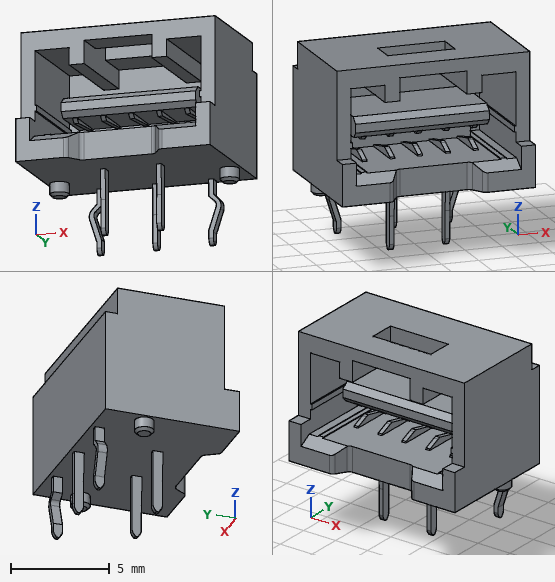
import cadquery as cq


width = 10.4
depth = 7.25
height = 6.94
rear_step_depth = 0.65
rear_step_z = 5.49
lip_depth = 0.81
lip_z = 2.25

cavity_half_width = 4.44
cavity_floor_z = 1.45
cavity_ceiling_z = 5.94
cavity_back_y = 6.16
key_inner_x = 1.81
key_outer_x = 2.61
key_bottom_z = 5.03
channel_front_z = 6.25
channel_rear_z = 6.02
window_front_y = 2.58
window_rear_y = 4.07

wall_rail_bottom_z = 2.78
wall_rail_height = 0.31
wall_rail_thickness = 0.08
floor_rail_width = 0.31
floor_rail_height = 0.04

lip_slope_front_z = 1.03
lip_slope_back_y = 0.71
notch_top_x = 1.97
notch_mouth_x = 2.49
notch_radius = 0.29

tongue_half_width = 3.6
tongue_front_y = 2.42
tongue_bottom_z = 2.78
tongue_top_z = 3.85
tongue_chamfer_height = 0.3
tongue_top_chamfer_depth = 0.36
tongue_bottom_chamfer_depth = 0.27
tongue_root_y = 5.2

pitch = 1.5
pin_thickness = 0.25
pin_width = 0.5
pin_length = 3.41
pin_taper_length = 1.6
pin_taper = 0.04
pin_tip_length = 0.32
pin_tip_half_width = 0.06
pin_tip_bulge_y = 0.18
pin_tip_bulge_drop = 0.19
front_row_y = 3.08
rear_row_y = 6.77

contact_rear_height = 0.07
lower_contact_y = 2.72
lower_contact_tip_depth = 0.04
lower_contact_tip_height = 0.07
lower_contact_slope_end_y = 3.45
lower_contact_slope_height = 0.36
lower_contact_crest_y = 3.59
lower_contact_height = 0.42
upper_contact_y = 2.77
upper_contact_crest_y = 3.04
upper_contact_height = 0.23

kink_start = 0.83
kink_depth = 1.29
kink_end = 2.71
kink_outer_offset = 0.6
kink_inner_offset = 0.32
kink_outer_radius = 0.52
kink_inner_radius = 0.27
kink_miter = 0.05

peg_diameter = 1.0
peg_x = 4.55
peg_y = 4.92
peg_length = 0.7
peg_chamfer = 0.16


def block(x0, x1, y0, y1, z0, z1):
    """Box given by its limits along each axis."""
    return cq.Workplane("XY").box(x1 - x0, y1 - y0, z1 - z0, centered=False).translate((x0, y0, z0))


def side_profile(points, half_width, center_x=0.0):
    """Outline in (y, z), extruded symmetrically along X."""
    solid = cq.Workplane("YZ").polyline(points).close().extrude(half_width, both=True)
    return solid.translate((center_x, 0, 0))


def mirrored(solid):
    """The solid together with its mirror image across the plane x = 0."""
    return solid.union(solid.mirror("YZ"))


def make_shell():
    shell = side_profile(
        [
            (0, 0),
            (depth, 0),
            (depth, rear_step_z),
            (depth - rear_step_depth, rear_step_z),
            (depth - rear_step_depth, height),
            (lip_depth, height),
            (lip_depth, lip_z),
            (0, lip_z),
        ],
        width / 2,
    )
    cavity = side_profile(
        [
            (0, lip_slope_front_z),
            (lip_slope_back_y, cavity_floor_z),
            (cavity_back_y, cavity_floor_z),
            (cavity_back_y, cavity_ceiling_z),
            (0, cavity_ceiling_z),
        ],
        cavity_half_width,
    )
    return shell.cut(cavity)


def add_keys_and_latch(shell):
    key = block(key_inner_x, key_outer_x, lip_depth, cavity_back_y, key_bottom_z, cavity_ceiling_z)
    shell = shell.union(mirrored(key))
    rear_channel = block(-key_inner_x, key_inner_x, lip_depth, cavity_back_y, key_bottom_z, channel_rear_z)
    front_channel = block(-key_inner_x, key_inner_x, lip_depth, window_rear_y, key_bottom_z, channel_front_z)
    window = block(-key_inner_x, key_inner_x, window_front_y, window_rear_y, key_bottom_z, height)
    return shell.cut(rear_channel).cut(front_channel).cut(window)


def make_rails():
    wall_rail = block(
        cavity_half_width - wall_rail_thickness, cavity_half_width,
        lip_depth, cavity_back_y,
        wall_rail_bottom_z, wall_rail_bottom_z + wall_rail_height,
    )
    slope_run = floor_rail_height * lip_slope_back_y / (cavity_floor_z - lip_slope_front_z)
    floor_rail = side_profile(
        [
            (lip_slope_back_y, cavity_floor_z),
            (lip_slope_back_y + slope_run, cavity_floor_z + floor_rail_height),
            (cavity_back_y, cavity_floor_z + floor_rail_height),
            (cavity_back_y, cavity_floor_z),
        ],
        floor_rail_width / 2,
        tongue_half_width + floor_rail_width / 2,
    )
    return mirrored(wall_rail.union(floor_rail))


def make_lip_notch():
    """Central clearance through the front lip, with S-shaped flanks."""
    inner = [(-notch_top_x, lip_depth), (notch_top_x, lip_depth)]
    mouth = [(notch_mouth_x, 0), (width / 2, 0), (width / 2, -lip_depth)]
    mouth_left = [(-x, y) for x, y in reversed(mouth)]
    notch = cq.Workplane("XY").polyline(inner + mouth + mouth_left).close().extrude(height)
    flank_corners = notch.edges("|Z").filter(lambda edge: abs(edge.Center().x) < cavity_half_width)
    return notch.newObject(flank_corners.vals()).fillet(notch_radius)


def make_tongue():
    """Tongue along the cavity, joined to the floor by a wall at its root."""
    return side_profile(
        [
            (cavity_back_y, cavity_floor_z),
            (cavity_back_y, tongue_top_z),
            (tongue_front_y + tongue_top_chamfer_depth, tongue_top_z),
            (tongue_front_y, tongue_top_z - tongue_chamfer_height),
            (tongue_front_y, tongue_bottom_z + tongue_chamfer_height),
            (tongue_front_y + tongue_bottom_chamfer_depth, tongue_bottom_z),
            (tongue_root_y, tongue_bottom_z),
            (tongue_root_y, cavity_floor_z),
        ],
        tongue_half_width,
    )


def lower_contact(x):
    """Contact rising from the cavity floor, with a blunt tip."""
    outline = [
        (lower_contact_y, 0),
        (lower_contact_y + lower_contact_tip_depth, lower_contact_tip_height),
        (lower_contact_slope_end_y, lower_contact_slope_height),
        (lower_contact_crest_y, lower_contact_height),
        (tongue_root_y, contact_rear_height),
        (tongue_root_y, 0),
    ]
    points = [(y, cavity_floor_z + rise) for y, rise in outline]
    return side_profile(points, pin_thickness / 2, x)


def upper_contact(x):
    """Wedge-shaped contact hanging from the underside of the tongue."""
    outline = [
        (upper_contact_y, 0),
        (upper_contact_crest_y, upper_contact_height),
        (tongue_root_y, contact_rear_height),
        (tongue_root_y, 0),
    ]
    points = [(y, tongue_bottom_z - drop) for y, drop in outline]
    return side_profile(points, pin_thickness / 2, x)


def straight_pin(x, y):
    """Flat solder pin with a rounded, tapered tip and a front edge that flares towards the housing."""
    half = pin_width / 2
    shoulder_z = pin_tip_length - pin_length
    bulge_z = shoulder_z - pin_tip_bulge_drop
    pin = (
        cq.Workplane("YZ")
        .moveTo(-half, -pin_taper_length)
        .lineTo(-half - pin_taper, 0)
        .lineTo(half, 0)
        .lineTo(half, shoulder_z)
        .threePointArc((pin_tip_bulge_y, bulge_z), (pin_tip_half_width, -pin_length))
        .lineTo(-pin_tip_half_width, -pin_length)
        .threePointArc((-pin_tip_bulge_y, bulge_z), (-half, shoulder_z))
        .close()
        .extrude(pin_thickness / 2, both=True)
    )
    return pin.translate((x, y, 0))


def kinked_pin(x, y):
    """Retention pin for the +X side: a strip bowed outwards, with the same tip as a straight pin."""
    half = pin_thickness / 2
    strip = (
        cq.Workplane("XZ")
        .polyline(
            [
                (-half, 0),
                (half, 0),
                (half, -kink_start + kink_miter),
                (kink_outer_offset, -kink_depth),
                (half, -kink_end - kink_miter),
                (half, -pin_length),
                (-half, -pin_length),
                (-half, -kink_end + kink_miter),
                (kink_inner_offset, -kink_depth),
                (-half, -kink_start - kink_miter),
            ]
        )
        .close()
        .extrude(pin_width / 2, both=True)
    )
    middle_z = -kink_depth
    outer_bend = cq.selectors.NearestToPointSelector((kink_outer_offset, 0, middle_z))
    inner_bend = cq.selectors.NearestToPointSelector((kink_inner_offset, 0, middle_z))
    strip = strip.edges("|Y").edges(outer_bend).fillet(kink_outer_radius)
    strip = strip.edges("|Y").edges(inner_bend).fillet(kink_inner_radius)
    below_kink = block(-half, half, -pin_width, pin_width, -pin_length, -kink_end - kink_miter)
    tip = straight_pin(0, 0).intersect(below_kink)
    return strip.cut(below_kink).union(tip).translate((x, y, 0))


def make_pegs():
    peg = cq.Workplane("XY").circle(peg_diameter / 2).extrude(-peg_length)
    peg = peg.faces("<Z").chamfer(peg_chamfer)
    return mirrored(peg.translate((peg_x, peg_y, 0)))


result = add_keys_and_latch(make_shell())
result = result.union(make_rails()).cut(make_lip_notch()).union(make_tongue())

for index in range(-2, 3):
    contact_x = index * pitch
    result = result.union(lower_contact(contact_x))
    result = result.union(upper_contact(contact_x))

result = result.union(straight_pin(0, rear_row_y))
result = result.union(mirrored(straight_pin(pitch, front_row_y)))
result = result.union(mirrored(kinked_pin(2 * pitch, rear_row_y)))
result = result.union(make_pegs())